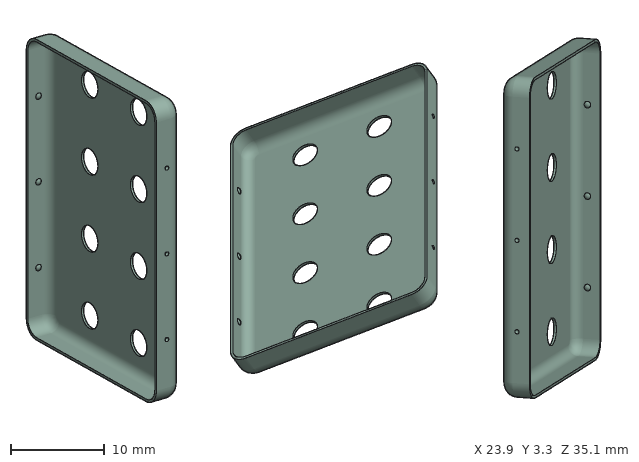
import cadquery as cq

width = 23.9
depth = 3.3
height = 35.1

wall = 0.3
corner_radius = 1.9
floor_edge_radius = 1.4

hole_diameter = 3.0
hole_pitch = 9.0
hole_columns = 2
hole_rows = 4

bump_pitch = 10.0
bump_count = 3
bump_rim_distance = 1.4
dimple_radius = 0.228
bump_radius = 0.475


def rounded_block(inset):
    """Rounded block whose sides and floor are set in by the given amount."""
    block_depth = depth - inset
    return (
        cq.Workplane("XZ")
        .rect(width - 2 * inset, height - 2 * inset)
        .extrude(-block_depth)
        .edges("|Y")
        .fillet(corner_radius - inset)
        .faces(">Y")
        .edges()
        .fillet(floor_edge_radius - inset)
    )


def cut_wall_spheres(body, radius):
    """Cut spheres centred on the outer faces of both long walls out of a body."""
    for side in (-1, 1):
        for index in range(bump_count):
            z = (index - (bump_count - 1) / 2) * bump_pitch
            center = (side * width / 2, bump_rim_distance, z)
            body = body.cut(cq.Workplane("YZ").sphere(radius).translate(center))
    return body


cavity = cut_wall_spheres(rounded_block(wall), bump_radius)
tray = rounded_block(0).cut(cavity)

floor_holes = (
    cq.Workplane("XZ")
    .rarray(hole_pitch, hole_pitch, hole_columns, hole_rows)
    .circle(hole_diameter / 2)
    .extrude(-depth)
)
tray = tray.cut(floor_holes)

result = cut_wall_spheres(tray, dimple_radius)